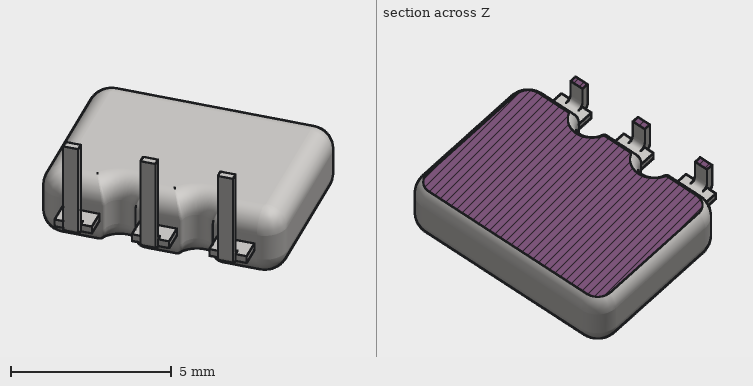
import cadquery as cq
import math

body_width = 8.0
body_depth = 5.8
body_height = 2.3
corner_radius = 0.75
edge_radius = 0.7

notch_radius = 0.5
notch_lip_radius = 0.1

lead_count = 3
lead_pitch = 2.54
lead_thickness = 0.26
tab_width = 1.22
pin_width = 0.5
lead_reach = 1.0
pin_top = 4.28
bend_radius = 0.2

tab_length = lead_reach - lead_thickness
tab_bottom = (body_height - lead_thickness) / 2
tab_top = tab_bottom + lead_thickness
root_embed = edge_radius


def centered_positions(count):
    """X positions of a row at the lead pitch, centred on x = 0."""
    return [(i - (count - 1) / 2) * lead_pitch for i in range(count)]


def arc_midpoint_inset(radius):
    """Distance from the midpoint of a quarter arc to each of its two tangent lines."""
    return radius * (1 - math.sqrt(0.5))


def make_body():
    block = cq.Workplane("XY").box(body_width, body_depth, body_height, centered=(True, False, False))
    block = block.edges("|Z").fillet(corner_radius)
    return block.faces("<Z or >Z").edges().fillet(edge_radius)


def make_notch_cutter(x):
    """Round cutter centred on the front face, flaring out at both ends to round the notch rims."""
    flare_radius = notch_radius + edge_radius
    arc_offset = arc_midpoint_inset(edge_radius)
    arc_mid_radius = notch_radius + arc_offset
    profile = (
        cq.Workplane("XZ")
        .lineTo(flare_radius, 0)
        .threePointArc((arc_mid_radius, arc_offset), (notch_radius, edge_radius))
        .lineTo(notch_radius, body_height - edge_radius)
        .threePointArc((arc_mid_radius, body_height - arc_offset), (flare_radius, body_height))
        .lineTo(0, body_height)
        .close()
    )
    return profile.revolve(360, (0, 0, 0), (0, 1, 0)).translate((x, 0, 0))


def soften_notch_lips(body):
    """Round the lips where the notches meet the front face; the fillet runs on around the edge rounds."""
    tolerance = 0.01
    front_strip = cq.selectors.BoxSelector(
        (-lead_pitch, -tolerance, 0),
        (lead_pitch, tolerance, body_height),
    )
    return body.edges("|Z").edges(front_strip).fillet(notch_lip_radius)


def make_lead(x):
    tab = (
        cq.Workplane("XY")
        .box(tab_width, tab_length + root_embed, lead_thickness, centered=(True, False, False))
        .translate((x, -tab_length, tab_bottom))
    )
    bend_offset = arc_midpoint_inset(bend_radius)
    pin = (
        cq.Workplane("YZ")
        .moveTo(-tab_length + bend_radius, tab_bottom)
        .lineTo(-lead_reach + bend_radius, tab_bottom)
        .threePointArc(
            (-lead_reach + bend_offset, tab_bottom + bend_offset),
            (-lead_reach, tab_bottom + bend_radius),
        )
        .lineTo(-lead_reach, pin_top)
        .lineTo(-tab_length, pin_top)
        .lineTo(-tab_length, tab_top + bend_radius)
        .threePointArc(
            (-tab_length + bend_offset, tab_top + bend_offset),
            (-tab_length + bend_radius, tab_top),
        )
        .close()
        .extrude(pin_width / 2, both=True)
        .translate((x, 0, 0))
    )
    return tab.union(pin)


result = make_body()
for notch_x in centered_positions(lead_count - 1):
    result = result.cut(make_notch_cutter(notch_x))
result = soften_notch_lips(result)
for lead_x in centered_positions(lead_count):
    result = result.union(make_lead(lead_x))